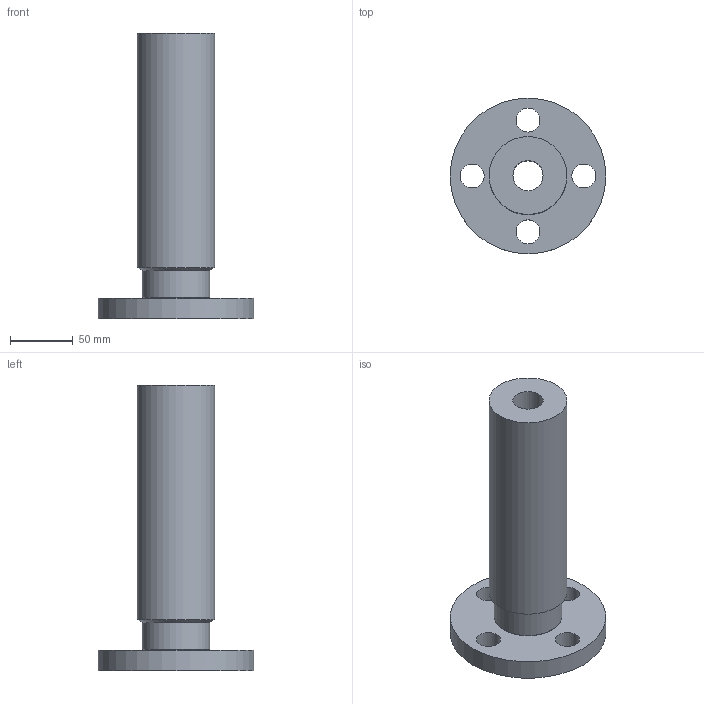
import cadquery as cq

flange_diameter = 124.0
flange_thickness = 16.0
bolt_circle_diameter = 88.9
bolt_hole_diameter = 19.0
bolt_hole_count = 4

total_height = 227.01
neck_diameter = 54.0
body_diameter = 62.0
body_length = 186.5
taper_height = 2.4
taper_top_diameter = 60.0
neck_foot_chamfer = 0.8
bore_diameter = 24.0

body_bottom_z = total_height - body_length
taper_bottom_z = body_bottom_z - taper_height


def make_flange():
    """Disc with an evenly spaced ring of through bolt holes."""
    return (
        cq.Workplane("XY")
        .circle(flange_diameter / 2)
        .extrude(flange_thickness)
        .faces(">Z")
        .workplane()
        .polarArray(bolt_circle_diameter / 2, 0, 360, bolt_hole_count)
        .hole(bolt_hole_diameter)
    )


def make_stem():
    """Revolved neck, taper and body, standing on the flange."""
    neck_radius = neck_diameter / 2
    body_radius = body_diameter / 2
    foot_radius = neck_radius - neck_foot_chamfer
    profile = [
        (0, flange_thickness),
        (foot_radius, flange_thickness),
        (neck_radius, flange_thickness + neck_foot_chamfer),
        (neck_radius, taper_bottom_z),
        (taper_top_diameter / 2, body_bottom_z),
        (body_radius, body_bottom_z),
        (body_radius, total_height),
        (0, total_height),
    ]
    return cq.Workplane("XZ").polyline(profile).close().revolve(360, (0, 0), (0, 1))


def make_bore():
    """Cylinder that opens the part along its whole axis."""
    return cq.Workplane("XY").circle(bore_diameter / 2).extrude(total_height)


result = make_flange().union(make_stem()).cut(make_bore())